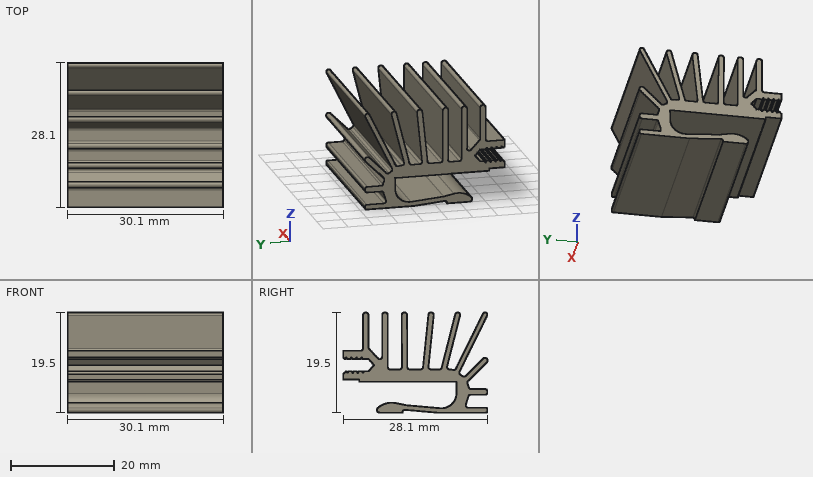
import cadquery as cq
import math

length = 30.15
depth = 28.05
height = 19.47

plate_bottom = 5.98
plate_top = 8.43
plate_front = 3.1
cavity_back = 21.97
cavity_radius = 2.9

jaw_top = 12.03
upper_jaw_face = 10.42
lower_jaw_face = 8.06
lower_jaw_bottom = 6.45
channel_end = 4.93
channel_apex = 5.98
upper_jaw_chamfer = 0.33
lower_jaw_chamfer = 0.55

groove_pitch = 1.0
groove_count = 4
groove_half_width = 0.19
groove_depth = 0.33
upper_groove_start = 0.6
lower_groove_start = 0.86

front_fin = (4.39, 4.39, 1.13)
second_fin = (8.12, 8.12, 1.13)
third_fin = (11.89, 11.94, 1.08)
fourth_fin = (17.06, 15.91, 1.08)
fifth_fin = (22.21, 19.35, 1.0)
sixth_fin = (27.53, 21.95, 0.92)
plate_fins = (second_fin, third_fin, fourth_fin, fifth_fin, sixth_fin)
root_height = 7.7

web_top = 12.5
web_slope = 1.07

diagonal_fin_thickness = 1.08
diagonal_fin_root = (23.24, 5.87)
diagonal_fin_tip_height = 10.13
side_fin_end = depth - 0.08
middle_fin_bottom = 3.47
middle_fin_top = 4.62
middle_fin_round = 0.42
foot_fin_top = 1.0
foot_fin_round = 0.28

shoulder = [(20.8, plate_top), (22.0, 8.23), (22.2, 7.78), (23.7, 6.75)]
wall_upper_top = (23.95, 6.3)
wall_upper_bottom = (24.5, middle_fin_top)
wall_lower_top = (24.42, middle_fin_bottom)
wall_lower_bottom = (23.63, foot_fin_top)

sixth_fin_front_root = (21.72, 8.27)
sixth_fin_back_root = (22.45, 7.6)
diagonal_fin_front_root = (23.5, 6.9)
diagonal_fin_back_root = (24.05, 6.1)

root_radius = 0.45
shoulder_root_radius = 0.4
wall_root_radius = 0.35

arm_slope = math.radians(5)
arm_underside_start = 18.2
relief_front = 11.55
relief_radius = 0.45
hook_ramp_start = 12.25
hook_ramp_angle = math.radians(11.5)
hook_peak_y = 9.4
hook_peak_z = 1.98
hook_radius = 4.0
nose_radius = 0.55


def start_profile(point):
    return cq.Workplane("YZ").moveTo(*point)


def extrude(outline):
    return outline.close().extrude(length / 2, both=True)


def point_on_circle(center, radius, angle):
    return (center[0] + radius * math.cos(angle), center[1] + radius * math.sin(angle))


def fin(tip, root, thickness):
    """Flat fin from a root centre to a tip centre, fully rounded at the tip."""
    half = thickness / 2
    direction = math.atan2(tip[1] - root[1], tip[0] - root[0])
    left = direction + math.pi / 2
    right = direction - math.pi / 2
    return extrude(
        start_profile(point_on_circle(root, half, left))
        .lineTo(*point_on_circle(tip, half, left))
        .threePointArc(point_on_circle(tip, half, direction), point_on_circle(tip, half, right))
        .lineTo(*point_on_circle(root, half, right))
    )


def upright_fin(size, root_z):
    tip_y, root_y, thickness = size
    return fin((tip_y, height - thickness / 2), (root_y, root_z), thickness)


def diagonal_fin():
    tip = (depth - diagonal_fin_thickness / 2, diagonal_fin_tip_height)
    return fin(tip, diagonal_fin_root, diagonal_fin_thickness)


def side_fin(bottom, top, end_round):
    """Horizontal fin reaching from the cavity wall to the back of the part."""
    width = side_fin_end - cavity_back
    center = (0, (side_fin_end + cavity_back) / 2, (bottom + top) / 2)
    bar = cq.Workplane("XY").box(length, width, top - bottom).translate(center)
    return bar.edges("|X and >Y").fillet(end_round)


def body():
    """Jaws, web, base plate and back wall."""
    web_back = second_fin[0]
    web_front = front_fin[0] + front_fin[2] / 2
    web_root = web_top - (web_back - web_front) * web_slope
    return extrude(
        start_profile((cavity_back, plate_bottom))
        .lineTo(plate_front, plate_bottom)
        .lineTo(plate_front, lower_jaw_bottom)
        .lineTo(0, lower_jaw_bottom)
        .lineTo(0, lower_jaw_face - lower_jaw_chamfer)
        .lineTo(lower_jaw_chamfer, lower_jaw_face)
        .lineTo(channel_end, lower_jaw_face)
        .lineTo(channel_apex, (lower_jaw_face + upper_jaw_face) / 2)
        .lineTo(channel_end, upper_jaw_face)
        .lineTo(upper_jaw_chamfer, upper_jaw_face)
        .lineTo(0, upper_jaw_face + upper_jaw_chamfer)
        .lineTo(0, jaw_top)
        .lineTo(front_fin[0], jaw_top)
        .lineTo(front_fin[0], web_top)
        .lineTo(web_front, web_top)
        .lineTo(web_back, web_root)
        .lineTo(web_back, plate_top)
        .polyline(shoulder, includeCurrent=True)
        .lineTo(*wall_upper_top)
        .lineTo(*wall_upper_bottom)
        .lineTo(*wall_lower_top)
        .lineTo(*wall_lower_bottom)
        .lineTo(cavity_back, foot_fin_top)
    )


def clip():
    """Spring arm curving out of the back wall, ending in a rounded hook."""
    hook_center = (hook_peak_y, hook_peak_z - hook_radius)
    ramp_end = point_on_circle(hook_center, hook_radius, math.pi / 2 - hook_ramp_angle)

    nose_angle = math.pi - math.asin((nose_radius - hook_center[1]) / (hook_radius - nose_radius))
    nose_top = point_on_circle(hook_center, hook_radius, nose_angle)
    nose_center = point_on_circle(hook_center, hook_radius - nose_radius, nose_angle)
    hook_middle = point_on_circle(hook_center, hook_radius, (math.pi / 2 + nose_angle) / 2)

    ramp_rise = (hook_ramp_start - ramp_end[0]) * math.tan(hook_ramp_angle)
    arm_top_front = (hook_ramp_start, ramp_end[1] - ramp_rise)

    arc_center_y = cavity_back - cavity_radius
    arm_drop = (arc_center_y - arm_top_front[0]) * math.tan(arm_slope)
    arc_center = (arc_center_y, arm_top_front[1] - arm_drop + cavity_radius / math.cos(arm_slope))
    arm_tangent = -math.pi / 2 - arm_slope
    arc_end = point_on_circle(arc_center, cavity_radius, arm_tangent)
    arc_middle = point_on_circle(arc_center, cavity_radius, arm_tangent / 2)

    relief_back = relief_front + relief_radius
    relief_top = (arm_underside_start - relief_back) * math.tan(arm_slope)
    wall_overlap = 1.0
    return extrude(
        start_profile((cavity_back, plate_bottom))
        .lineTo(cavity_back, arc_center[1])
        .threePointArc(arc_middle, arc_end)
        .lineTo(*arm_top_front)
        .lineTo(*ramp_end)
        .threePointArc(hook_middle, nose_top)
        .threePointArc(point_on_circle(nose_center, nose_radius, math.pi), (nose_center[0], 0))
        .lineTo(relief_front, 0)
        .lineTo(relief_front, relief_top - relief_radius)
        .radiusArc((relief_back, relief_top), relief_radius)
        .lineTo(arm_underside_start, 0)
        .lineTo(cavity_back + wall_overlap, 0)
        .lineTo(cavity_back + wall_overlap, plate_bottom)
    )


def jaw_groove(y, face, bottom):
    return extrude(
        start_profile((y - groove_half_width, face))
        .lineTo(y, bottom)
        .lineTo(y + groove_half_width, face)
    )


def cut_grooves(part):
    for index in range(groove_count):
        offset = index * groove_pitch
        upper_tip = upper_jaw_face + groove_depth
        lower_tip = lower_jaw_face - groove_depth
        part = part.cut(jaw_groove(upper_groove_start + offset, upper_jaw_face, upper_tip))
        part = part.cut(jaw_groove(lower_groove_start + offset, lower_jaw_face, lower_tip))
    return part


def fillet_nearest(part, point, radius):
    """Round the lengthwise edge closest to a (Y, Z) point."""
    nearest = cq.selectors.NearestToPointSelector((0, *point))
    return part.edges("|X").edges(nearest).fillet(radius)


def fillet_plate_roots(part):
    """Round both sides of every fin root that stands on the flat plate top."""
    margin = 0.1
    near_corner = (-length, second_fin[1], plate_top - margin)
    far_corner = (length, shoulder[0][0] - margin, plate_top + margin)
    box = cq.selectors.BoxSelector(near_corner, far_corner)
    return part.edges("|X").edges(box).fillet(root_radius)


def fillet_other_roots(part):
    front_fin_face = front_fin[0] - front_fin[2] / 2
    web_front = front_fin[0] + front_fin[2] / 2
    second_fin_face = second_fin[0] - second_fin[2] / 2
    web_drop = (second_fin_face - web_front) * web_slope
    web_root = (second_fin_face, web_top - web_drop)
    for point in ((front_fin_face, jaw_top), (web_front, web_top), web_root, wall_lower_bottom):
        part = fillet_nearest(part, point, root_radius)
    for point in (sixth_fin_front_root, sixth_fin_back_root, diagonal_fin_front_root):
        part = fillet_nearest(part, point, shoulder_root_radius)
    for point in (diagonal_fin_back_root, wall_upper_bottom, wall_lower_top):
        part = fillet_nearest(part, point, wall_root_radius)
    return part


result = body().union(clip())
result = result.union(upright_fin(front_fin, jaw_top - upper_jaw_chamfer))
for plate_fin in plate_fins:
    result = result.union(upright_fin(plate_fin, root_height))
result = result.union(diagonal_fin())
result = result.union(side_fin(middle_fin_bottom, middle_fin_top, middle_fin_round))
result = result.union(side_fin(0, foot_fin_top, foot_fin_round))
result = fillet_plate_roots(result)
result = fillet_other_roots(result)
result = cut_grooves(result)